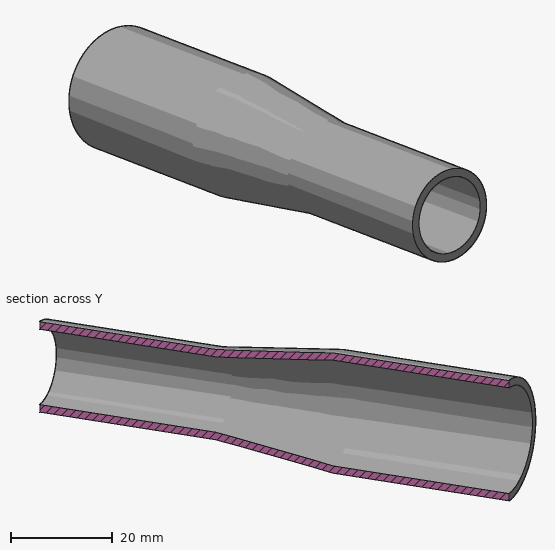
import cadquery as cq

total_length = 101.6
tube_length = 38.1

large_outer_diameter = 25.4
large_bore_diameter = 22.1
small_outer_diameter = 19.1
small_bore_diameter = 15.7

cone_start = tube_length
cone_end = total_length - tube_length


def stepped_body(large_diameter, small_diameter):
    """Solid of revolution about X: two cylinders joined by a cone."""
    large_radius = large_diameter / 2
    small_radius = small_diameter / 2
    half_profile = (
        cq.Workplane("XY")
        .moveTo(0, 0)
        .lineTo(0, large_radius)
        .lineTo(cone_start, large_radius)
        .lineTo(cone_end, small_radius)
        .lineTo(total_length, small_radius)
        .lineTo(total_length, 0)
        .close()
    )
    return half_profile.revolve(360, (0, 0, 0), (1, 0, 0))


outer_body = stepped_body(large_outer_diameter, small_outer_diameter)
bore = stepped_body(large_bore_diameter, small_bore_diameter)

result = outer_body.cut(bore)